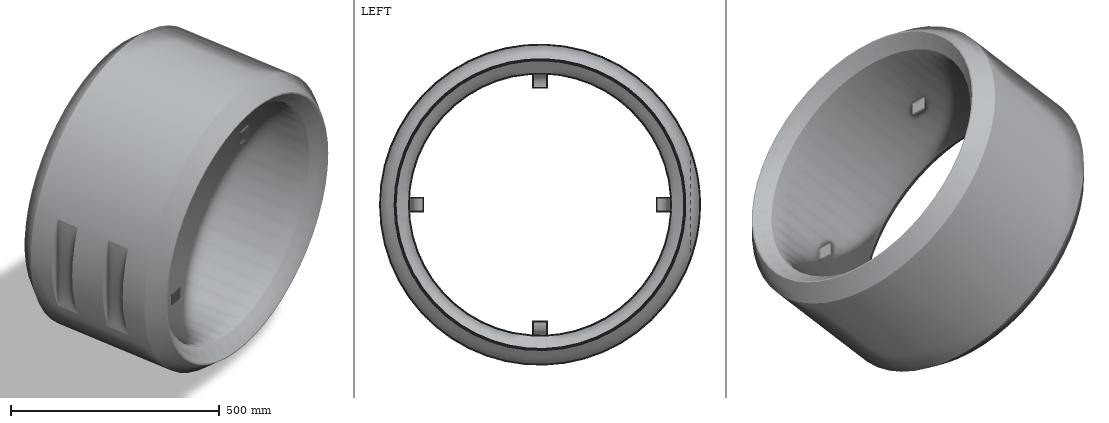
import cadquery as cq

ring_width = 410.0
outer_diameter = 770.0
bore_diameter = 630.0
outer_radius = outer_diameter / 2
bore_radius = bore_diameter / 2

outer_bevel_length = 41.0
outer_bevel_height = 35.0
bore_bevel_length = 31.5
bore_bevel_height = 31.5

slot_width = 58.0
slot_spacing = 146.0
slot_depth = 23.5

tab_count = 4
tab_width = 34.0
tab_height = 34.5
tab_thickness = 5.0
tab_root = 10.0


def make_ring():
    """Revolve the wall section, bevelled at all four corners, about the X axis."""
    end = ring_width / 2
    outer_shoulder = end - outer_bevel_length
    bore_shoulder = end - bore_bevel_length
    outer_rim = outer_radius - outer_bevel_height
    bore_rim = bore_radius + bore_bevel_height
    section = [
        (-bore_shoulder, bore_radius),
        (bore_shoulder, bore_radius),
        (end, bore_rim),
        (end, outer_rim),
        (outer_shoulder, outer_radius),
        (-outer_shoulder, outer_radius),
        (-end, outer_rim),
        (-end, bore_rim),
    ]
    return cq.Workplane("XY").polyline(section).close().revolve(360, (0, 0, 0), (1, 0, 0))


def make_slot(x_center):
    """Block that cuts one slot, reaching inward from the -Y side."""
    slot_floor = outer_radius - slot_depth
    return (
        cq.Workplane("XY")
        .box(slot_width, slot_depth, outer_diameter, centered=(True, False, True))
        .translate((x_center, -slot_floor - slot_depth, 0))
    )


def make_tab(angle):
    """One tab, turned about the X axis to its place in the bore."""
    return (
        cq.Workplane("XY")
        .box(tab_thickness, tab_width, tab_height + tab_root, centered=(True, True, False))
        .translate((-tab_thickness / 2, 0, bore_radius - tab_height))
        .rotate((0, 0, 0), (1, 0, 0), angle)
    )


result = make_ring()
for side in (-1, 1):
    result = result.cut(make_slot(side * slot_spacing / 2))
for index in range(tab_count):
    result = result.union(make_tab(index * 360 / tab_count))